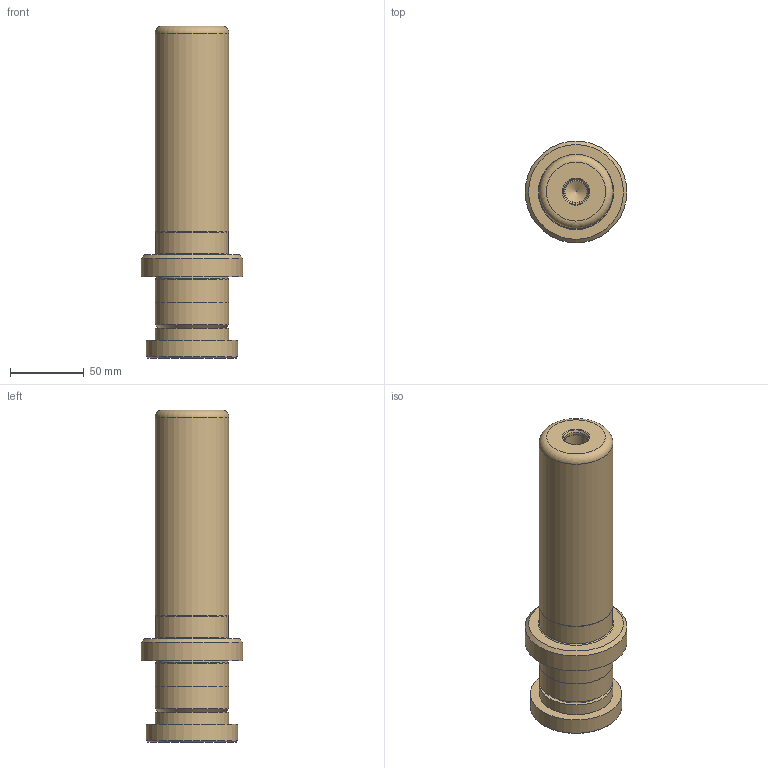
import cadquery as cq
import math

disc_diameter = 62.0
disc_thickness = 12.0
disc_chamfer = 1.0
spigot_diameter = 49.8
spigot_height = 8.0

guide_diameter = 50.0
pillar_length = 205.0
tip_radius = 5.0
collar_diameter = 69.0
collar_thickness = 15.0
collar_chamfer = 2.4
collar_height = 35.0
relief_diameter = 49.5
relief_length = 15.5
root_fillet = 0.75
shank_diameter = 50.0
lead_diameter = 49.8
lead_length = 17.5
lead_chamfer = 2.5
undercut_diameter = 49.0
undercut_width = 1.2
step_chamfer = 0.4

bore_diameter = 15.0
bore_depth = 40.0
bore_tip_angle = 118.0
recess_diameter = 15.6
recess_depth = 3.7
cone_mouth_diameter = 17.2
cone_angle = 60.0
bevel_diameter = 18.4
bevel_angle = 120.0

pillar_bottom = disc_thickness + spigot_height
pillar_top = pillar_bottom + pillar_length
collar_bottom = pillar_bottom + collar_height
collar_top = collar_bottom + collar_thickness


def make_retaining_disc():
    disc_radius = disc_diameter / 2
    spigot_radius = spigot_diameter / 2
    profile = (
        cq.Workplane("XZ")
        .moveTo(0, 0)
        .lineTo(disc_radius - disc_chamfer, 0)
        .lineTo(disc_radius, disc_chamfer)
        .lineTo(disc_radius, disc_thickness)
        .lineTo(spigot_radius, disc_thickness)
        .lineTo(spigot_radius, pillar_bottom)
        .lineTo(0, pillar_bottom)
        .close()
    )
    return profile.revolve(360, (0, 0, 0), (0, 1, 0))


def cone_height(large_diameter, small_diameter, included_angle):
    """Axial height of a cone between two diameters."""
    return (large_diameter - small_diameter) / 2 / math.tan(math.radians(included_angle / 2))


def make_centre_hole():
    bore_radius = bore_diameter / 2
    recess_radius = recess_diameter / 2
    bore_bottom = pillar_top - bore_depth
    bore_tip = bore_bottom - cone_height(bore_diameter, 0, bore_tip_angle)
    recess_bottom = pillar_top - recess_depth
    cone_top = pillar_top - cone_height(bevel_diameter, cone_mouth_diameter, bevel_angle)
    cone_bottom = cone_top - cone_height(cone_mouth_diameter, recess_diameter, cone_angle)
    profile = (
        cq.Workplane("XZ")
        .moveTo(0, bore_tip)
        .lineTo(bore_radius, bore_bottom)
        .lineTo(bore_radius, recess_bottom)
        .lineTo(recess_radius, recess_bottom)
        .lineTo(recess_radius, cone_bottom)
        .lineTo(cone_mouth_diameter / 2, cone_top)
        .lineTo(bevel_diameter / 2, pillar_top)
        .lineTo(0, pillar_top)
        .close()
    )
    return profile.revolve(360, (0, 0, 0), (0, 1, 0))


def make_guide_pillar():
    guide_radius = guide_diameter / 2
    relief_radius = relief_diameter / 2
    shank_radius = shank_diameter / 2
    lead_radius = lead_diameter / 2
    undercut_radius = undercut_diameter / 2
    collar_radius = collar_diameter / 2
    lead_top = pillar_bottom + lead_length
    undercut_bottom = collar_bottom - undercut_width
    relief_top = collar_top + relief_length
    profile = (
        cq.Workplane("XZ")
        .moveTo(0, pillar_bottom)
        .lineTo(lead_radius - lead_chamfer, pillar_bottom)
        .lineTo(lead_radius, pillar_bottom + lead_chamfer)
        .lineTo(lead_radius, lead_top)
        .lineTo(shank_radius, lead_top)
        .lineTo(shank_radius, undercut_bottom - step_chamfer)
        .lineTo(undercut_radius, undercut_bottom)
        .lineTo(undercut_radius, collar_bottom)
        .lineTo(collar_radius, collar_bottom)
        .lineTo(collar_radius, collar_top - collar_chamfer)
        .lineTo(collar_radius - collar_chamfer, collar_top)
        .lineTo(relief_radius + root_fillet, collar_top)
        .radiusArc((relief_radius, collar_top + root_fillet), root_fillet)
        .lineTo(relief_radius, relief_top - step_chamfer)
        .lineTo(guide_radius, relief_top)
        .lineTo(guide_radius, pillar_top - tip_radius)
        .radiusArc((guide_radius - tip_radius, pillar_top), -tip_radius)
        .lineTo(0, pillar_top)
        .close()
    )
    return profile.revolve(360, (0, 0, 0), (0, 1, 0)).cut(make_centre_hole())


retaining_disc = make_retaining_disc()
guide_pillar = make_guide_pillar()

result = cq.Compound.makeCompound([retaining_disc.val(), guide_pillar.val()])